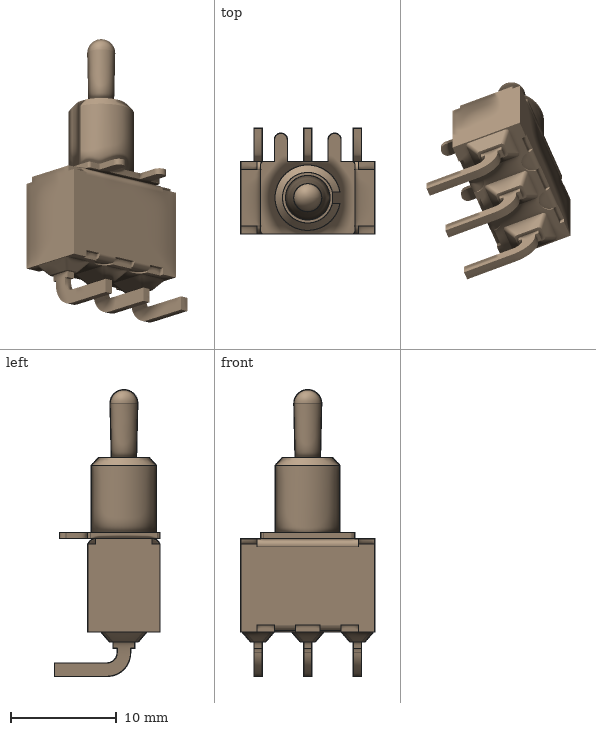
import cadquery as cq
import math


OVERALL_HEIGHT = 27.15
OVERALL_DEPTH = 10.02

CASE_WIDTH = 12.7
CASE_DEPTH = 6.87
CASE_BOTTOM = 4.2
CASE_TOP = 13.05
CASE_HEIGHT = CASE_TOP - CASE_BOTTOM
HALF_DEPTH = CASE_DEPTH / 2

MIDDLE_WIDTH = 9.55
EDGE_RADIUS = 0.75
END_WIDTH = (CASE_WIDTH - MIDDLE_WIDTH) / 2
END_STEP_HEIGHT = 0.52
RELIEF_HEIGHT = 0.65
RELIEF_DEPTH = 0.43

GROOVE_PITCH = 4.32
GROOVE_WIDTH = 1.95
GROOVE_DEPTH = 0.14
GROOVE_LIP_RADIUS = 0.45

PLATE_WIDTH = 8.9
PLATE_THICKNESS = 0.57
PLATE_TOP = CASE_TOP + PLATE_THICKNESS
PLATE_CORNER_RADIUS = 0.27
TAB_PITCH = 5.08
TAB_WIDTH = 1.25
TAB_REACH = 6.1

BUSHING_RADIUS = 3.1
BUSHING_TOP = 20.75
BUSHING_RIM_RADIUS = 2.4
BUSHING_CHAMFER_HEIGHT = 0.75
KEYWAY_WIDTH = 1.05
KEYWAY_FLOOR = 2.33

BALL_RADIUS = 4.2 / 2
BALL_CENTRE = BUSHING_TOP - BALL_RADIUS
LEVER_ROOT_RADIUS = 1.17
LEVER_TIP_RADIUS = 1.33

TERMINAL_PITCH = 4.7
TERMINAL_THICKNESS = 0.8
TERMINAL_WIDTH = 1.3
TERMINAL_TIP = OVERALL_DEPTH - HALF_DEPTH
BEND_RADIUS = 2.25
SHOULDER_WIDTH = 2.05
SHOULDER_BOTTOM = 2.65
SEAL_WIDTH = 3.05
SEAL_DEPTH = 4.35
SEAL_BOTTOM = 3.25
SEAL_INSET = 0.81
SEAL_CORNER_RADIUS = 0.4


def block(x_size, y_size, z_size, x, y, z):
    """A box centred on x and y that stands on the height z."""
    return cq.Workplane("XY").box(x_size, y_size, z_size, (True, True, False)).translate((x, y, z))


def groove_cutter(x, side):
    """A round-ended groove in the case bottom, with a rounded lip where it opens at the long wall."""
    end_radius = GROOVE_WIDTH / 2
    ceiling = CASE_BOTTOM + GROOVE_DEPTH
    lip_y = HALF_DEPTH - GROOVE_LIP_RADIUS
    lip_z = ceiling + GROOVE_LIP_RADIUS
    diagonal = GROOVE_LIP_RADIUS * math.sqrt(0.5)
    opening = (
        cq.Workplane("YZ", origin=(x, 0, 0))
        .moveTo(lip_y, CASE_BOTTOM)
        .lineTo(lip_y, ceiling)
        .threePointArc((lip_y + diagonal, lip_z - diagonal), (HALF_DEPTH, lip_z))
        .lineTo(HALF_DEPTH, CASE_BOTTOM)
        .close()
        .extrude(end_radius, both=True)
    )
    round_end = cq.Workplane("XY", origin=(x, lip_y, CASE_BOTTOM)).circle(end_radius).extrude(GROOVE_DEPTH)
    cutter = opening.union(round_end)
    return cutter if side > 0 else cutter.mirror("XZ")


def make_case():
    """The case block with rounded, stepped top edges and a relieved, grooved bottom."""
    case = block(CASE_WIDTH, CASE_DEPTH, CASE_HEIGHT, 0, 0, CASE_BOTTOM)
    case = case.edges("|X and >Z").fillet(EDGE_RADIUS)
    end_x = (CASE_WIDTH - END_WIDTH) / 2
    end_y = HALF_DEPTH - EDGE_RADIUS / 2
    step_z = CASE_TOP - END_STEP_HEIGHT
    end_fill_height = EDGE_RADIUS - END_STEP_HEIGHT
    relief_y = HALF_DEPTH - RELIEF_DEPTH / 2
    groove_outer_x = (GROOVE_PITCH + GROOVE_WIDTH) / 2
    outer_relief_width = MIDDLE_WIDTH / 2 - groove_outer_x
    outer_relief_x = groove_outer_x + outer_relief_width / 2
    reliefs = (
        (-outer_relief_x, outer_relief_width),
        (0, GROOVE_PITCH - GROOVE_WIDTH),
        (outer_relief_x, outer_relief_width),
    )
    for side in (-1, 1):
        for end in (-1, 1):
            x = end * end_x
            y = side * end_y
            case = case.union(block(END_WIDTH, EDGE_RADIUS, end_fill_height, x, y, CASE_TOP - EDGE_RADIUS))
            case = case.cut(block(END_WIDTH, EDGE_RADIUS, END_STEP_HEIGHT, x, y, step_z))
            case = case.cut(groove_cutter(end * GROOVE_PITCH / 2, side))
        for x, width in reliefs:
            case = case.cut(block(width, RELIEF_DEPTH, RELIEF_HEIGHT, x, side * relief_y, CASE_BOTTOM))
    return case


def make_plate():
    """The plate on top of the case, with two round-ended tabs reaching toward +Y."""
    plate = block(PLATE_WIDTH, CASE_DEPTH, PLATE_THICKNESS, 0, 0, CASE_TOP)
    plate = plate.edges("|Z").fillet(PLATE_CORNER_RADIUS)
    tab_centre = TAB_REACH - TAB_WIDTH / 2
    for end in (-1, 1):
        x = end * TAB_PITCH / 2
        plate = plate.union(block(TAB_WIDTH, tab_centre, PLATE_THICKNESS, x, tab_centre / 2, CASE_TOP))
        tab_end = cq.Workplane("XY", origin=(x, tab_centre, CASE_TOP)).circle(TAB_WIDTH / 2)
        plate = plate.union(tab_end.extrude(PLATE_THICKNESS))
    return plate


def make_bushing():
    """The chamfered bushing, with a keyway along its +X side."""
    chamfer_bottom = BUSHING_TOP - BUSHING_CHAMFER_HEIGHT
    bushing = (
        cq.Workplane("XZ")
        .moveTo(0, PLATE_TOP)
        .lineTo(BUSHING_RADIUS, PLATE_TOP)
        .lineTo(BUSHING_RADIUS, chamfer_bottom)
        .lineTo(BUSHING_RIM_RADIUS, BUSHING_TOP)
        .lineTo(0, BUSHING_TOP)
        .close()
        .revolve(360, (0, 0, 0), (0, 1, 0))
    )
    keyway_x = KEYWAY_FLOOR + BUSHING_RADIUS / 2
    return bushing.cut(block(BUSHING_RADIUS, KEYWAY_WIDTH, BUSHING_TOP - PLATE_TOP, keyway_x, 0, PLATE_TOP))


def make_ball():
    """The ball of the toggle, also used to shape the bottom of its socket."""
    return cq.Workplane("XY", origin=(0, 0, BALL_CENTRE)).sphere(BALL_RADIUS)


def make_socket_cutter():
    """The round-bottomed bore that holds the ball of the toggle."""
    bore = cq.Workplane("XY", origin=(0, 0, BALL_CENTRE)).circle(BALL_RADIUS).extrude(BALL_RADIUS)
    return bore.union(make_ball())


def make_seal(x):
    """A tapered seal with rounded corners under the case."""
    height = CASE_BOTTOM - SEAL_BOTTOM
    taper = math.degrees(math.atan(SEAL_INSET / height))
    seal = (
        cq.Workplane("XY", origin=(x, 0, CASE_BOTTOM))
        .rect(SEAL_WIDTH, SEAL_DEPTH)
        .extrude(-height, taper=taper)
    )
    return seal.edges("not #Z").fillet(SEAL_CORNER_RADIUS)


def make_terminal(x):
    """A flat terminal with a shoulder, bent from straight down to +Y."""
    half_width = TERMINAL_WIDTH / 2
    half_shoulder = SHOULDER_WIDTH / 2
    inner_radius = BEND_RADIUS - TERMINAL_WIDTH
    bend_y = BEND_RADIUS - half_width
    outer_diagonal = BEND_RADIUS * math.sqrt(0.5)
    inner_diagonal = inner_radius * math.sqrt(0.5)
    return (
        cq.Workplane("YZ", origin=(x, 0, 0))
        .moveTo(-half_shoulder, SEAL_BOTTOM)
        .lineTo(-half_shoulder, SHOULDER_BOTTOM)
        .lineTo(-half_width, SHOULDER_BOTTOM)
        .lineTo(-half_width, BEND_RADIUS)
        .threePointArc((bend_y - outer_diagonal, BEND_RADIUS - outer_diagonal), (bend_y, 0))
        .lineTo(TERMINAL_TIP, 0)
        .lineTo(TERMINAL_TIP, TERMINAL_WIDTH)
        .lineTo(bend_y, TERMINAL_WIDTH)
        .threePointArc((bend_y - inner_diagonal, BEND_RADIUS - inner_diagonal), (half_width, BEND_RADIUS))
        .lineTo(half_width, SHOULDER_BOTTOM)
        .lineTo(half_shoulder, SHOULDER_BOTTOM)
        .lineTo(half_shoulder, SEAL_BOTTOM)
        .close()
        .extrude(TERMINAL_THICKNESS / 2, both=True)
    )


def make_switch_body():
    """Case, plate, bushing, seals and terminals as one solid with a socket for the ball."""
    body = make_case().union(make_plate()).union(make_bushing())
    for position in (-1, 0, 1):
        x = position * TERMINAL_PITCH
        body = body.union(make_seal(x)).union(make_terminal(x))
    return body.cut(make_socket_cutter())


def make_toggle():
    """The lever, widening toward its domed tip, on the ball it pivots on."""
    dome_base = OVERALL_HEIGHT - LEVER_TIP_RADIUS
    diagonal = LEVER_TIP_RADIUS * math.sqrt(0.5)
    lever = (
        cq.Workplane("XZ")
        .moveTo(0, BALL_CENTRE)
        .lineTo(LEVER_ROOT_RADIUS, BALL_CENTRE)
        .lineTo(LEVER_TIP_RADIUS, dome_base)
        .threePointArc((diagonal, dome_base + diagonal), (0, OVERALL_HEIGHT))
        .close()
        .revolve(360, (0, 0, 0), (0, 1, 0))
    )
    return make_ball().union(lever)


switch_body = make_switch_body()
toggle = make_toggle()
result = cq.Compound.makeCompound([switch_body.solids().val(), toggle.solids().val()])